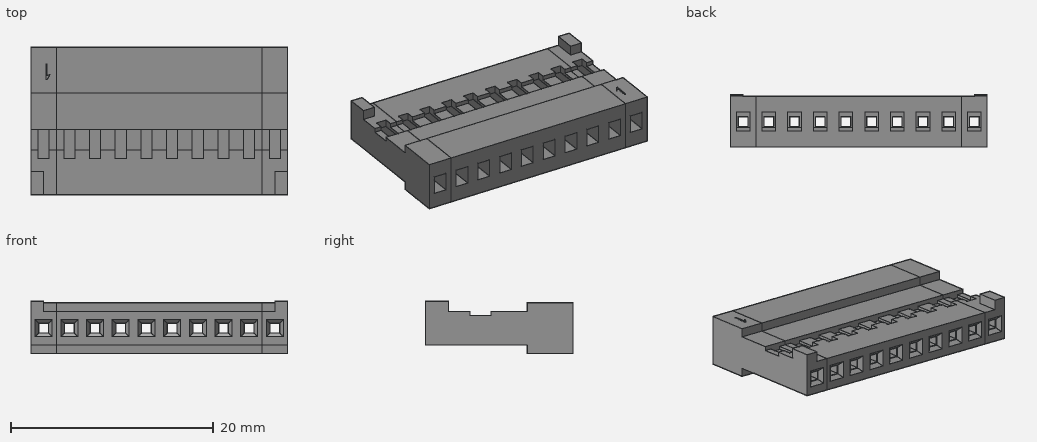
import cadquery as cq

PITCH = 2.54
CONTACTS = 10
LENGTH = PITCH * CONTACTS
DEPTH = 14.61

HEIGHT = 5.03
STEP = 0.85
NOSE_BOTTOM = STEP
NOSE_TOP = HEIGHT - STEP
NOSE_LENGTH = 10.07
GROOVE_FRONT = 4.43
GROOVE_REAR = 6.47
GROOVE_DEPTH = 0.41
GROOVE_FLOOR = NOSE_TOP - GROOVE_DEPTH

TAB_WIDTH = PITCH / 2
TAB_LENGTH = 2.3
TAB_TOP = 5.18

PASSAGE_SIZE = 0.93
MOUTH_SIZE = 1.68
MOUTH_DEPTH = (MOUTH_SIZE - PASSAGE_SIZE) / 2
PASSAGE_Z = HEIGHT / 2

CAVITY_WIDTH = 1.35
CAVITY_FRONT = 0.5
CAVITY_TOP = 3.45
FLOOR_DROP = 0.1
CAVITY_FLOOR = PASSAGE_Z - PASSAGE_SIZE / 2 - FLOOR_DROP
RAMP_START = 5.47
RAMP_END = 8.7
REAR_FLOOR = HEIGHT - CAVITY_TOP

WINDOW_WIDTH = 1.1
WINDOW_FRONT = 3.58

ARROW_THICKNESS = 0.1
ARROW_SHAFT_WIDTH = 0.1
ARROW_INSET = 1.5
ARROW_X = -LENGTH / 2 + ARROW_INSET
ARROW_TIP_Y = 11.4
ARROW_TAIL_Y = 12.95
ARROW_BARB_X = 0.42
ARROW_BARB_Y = 0.52
ARROW_NECK_Y = 0.38


def box(x_min, x_max, y_min, y_max, z_min, z_max):
    size = (x_max - x_min, y_max - y_min, z_max - z_min)
    return cq.Workplane("XY").box(*size, centered=False).translate((x_min, y_min, z_min))


def section_blank(x_min, x_max):
    """Stepped and grooved profile extruded along X."""
    profile = [
        (0, NOSE_BOTTOM),
        (NOSE_LENGTH, NOSE_BOTTOM),
        (NOSE_LENGTH, 0),
        (DEPTH, 0),
        (DEPTH, HEIGHT),
        (NOSE_LENGTH, HEIGHT),
        (NOSE_LENGTH, NOSE_TOP),
        (GROOVE_REAR, NOSE_TOP),
        (GROOVE_REAR, GROOVE_FLOOR),
        (GROOVE_FRONT, GROOVE_FLOOR),
        (GROOVE_FRONT, NOSE_TOP),
        (0, NOSE_TOP),
    ]
    plane = cq.Workplane("YZ", origin=(x_min, 0, 0))
    return plane.polyline(profile).close().extrude(x_max - x_min)


def entry(x):
    """Tapered mouth and short square passage into the cavity, centred on x."""
    half = PASSAGE_SIZE / 2
    passage = box(x - half, x + half, 0, CAVITY_FRONT, PASSAGE_Z - half, PASSAGE_Z + half)
    mouth = (
        cq.Workplane("XZ", origin=(x, 0, PASSAGE_Z))
        .rect(MOUTH_SIZE, MOUTH_SIZE)
        .workplane(offset=-MOUTH_DEPTH)
        .rect(PASSAGE_SIZE, PASSAGE_SIZE)
        .loft(ruled=True)
    )
    return passage.union(mouth)


def cavity(x):
    """Terminal cavity centred on x, open at the rear face."""
    profile = [
        (CAVITY_FRONT, CAVITY_FLOOR),
        (RAMP_START, CAVITY_FLOOR),
        (RAMP_END, REAR_FLOOR),
        (DEPTH, REAR_FLOOR),
        (DEPTH, CAVITY_TOP),
        (CAVITY_FRONT, CAVITY_TOP),
    ]
    plane = cq.Workplane("YZ", origin=(x - CAVITY_WIDTH / 2, 0, 0))
    return plane.polyline(profile).close().extrude(CAVITY_WIDTH)


def latch_window(x):
    """Opening from the nose top down into the cavity, centred on x."""
    half = WINDOW_WIDTH / 2
    return box(x - half, x + half, WINDOW_FRONT, GROOVE_REAR, CAVITY_TOP, NOSE_TOP)


def cut_contacts(section, first, last):
    """Cut the openings of contacts first to last, counted from -X."""
    for index in range(first, last + 1):
        x = -LENGTH / 2 + PITCH * (index + 0.5)
        section = section.cut(entry(x)).cut(cavity(x)).cut(latch_window(x))
    return section


def end_section(contact, tab_x):
    """One-contact section with its tab starting at tab_x."""
    x_min = -LENGTH / 2 + PITCH * contact
    tab = box(tab_x, tab_x + TAB_WIDTH, 0, TAB_LENGTH, NOSE_TOP, TAB_TOP)
    blank = section_blank(x_min, x_min + PITCH).union(tab)
    return cut_contacts(blank, contact, contact)


def centre_section():
    blank = section_blank(-LENGTH / 2 + PITCH, LENGTH / 2 - PITCH)
    return cut_contacts(blank, 1, CONTACTS - 2)


def arrow_mark():
    """Half arrow pointing toward the entry face, with one barb on its +X side."""
    outline = [
        (ARROW_X, ARROW_TIP_Y),
        (ARROW_X + ARROW_SHAFT_WIDTH, ARROW_TIP_Y),
        (ARROW_X + ARROW_BARB_X, ARROW_TIP_Y + ARROW_BARB_Y),
        (ARROW_X + ARROW_SHAFT_WIDTH, ARROW_TIP_Y + ARROW_NECK_Y),
        (ARROW_X + ARROW_SHAFT_WIDTH, ARROW_TAIL_Y),
        (ARROW_X, ARROW_TAIL_Y),
    ]
    plane = cq.Workplane("XY", origin=(0, 0, HEIGHT - ARROW_THICKNESS))
    return plane.polyline(outline).close().extrude(ARROW_THICKNESS)


arrow = arrow_mark()
first_end = end_section(0, -LENGTH / 2).cut(arrow)
centre = centre_section()
last_end = end_section(CONTACTS - 1, LENGTH / 2 - TAB_WIDTH)

result = cq.Compound.makeCompound([first_end.val(), centre.val(), last_end.val(), arrow.val()])